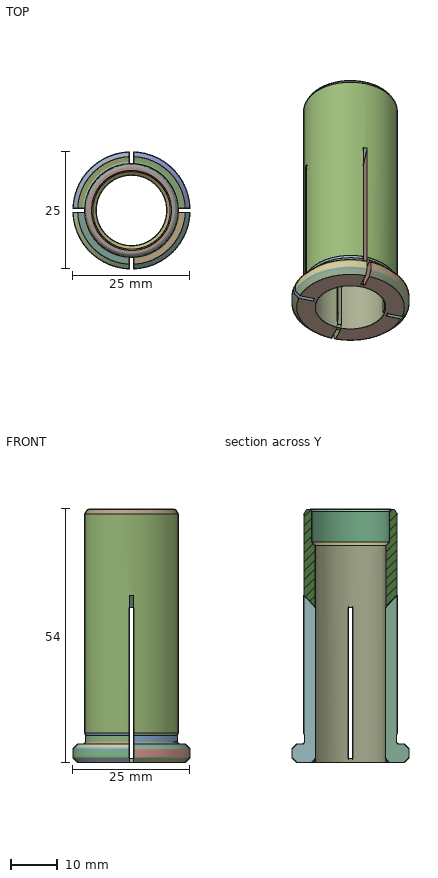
import cadquery as cq
import math

TOTAL_HEIGHT = 54.0
TUBE_RADIUS = 20.0 / 2
BORE_RADIUS = 15.0 / 2
COUNTERBORE_RADIUS = 16.5 / 2
COUNTERBORE_DEPTH = 7.0

FLANGE_RADIUS = 25.0 / 2
FLANGE_HEIGHT = 4.0
FLANGE_CHAMFER = 1.0
EDGE_ROUNDING = 0.5

GROOVE_RADIUS = 9.85
GROOVE_TOP = 5.8
GROOVE_RUNOUT = 0.5
GROOVE_FILLET = 0.5

LEAD_IN_HEIGHT = 1.0
LEAD_IN_ANGLE = 30.0
MOUTH_CHAMFER_WIDTH = 0.25
MOUTH_CHAMFER_HEIGHT = 0.5

SLOT_COUNT = 4
SLOT_WIDTH = 0.85
CUTTER_RADIUS = 25.45
CUTTER_OFFSET = 27.2
CUTTER_HEIGHT = 16.95


def make_body():
    """Revolve the outer outline of the flanged sleeve."""
    lead_in = LEAD_IN_HEIGHT * math.tan(math.radians(LEAD_IN_ANGLE))
    body = (
        cq.Workplane("XZ")
        .moveTo(0, 0)
        .lineTo(FLANGE_RADIUS - FLANGE_CHAMFER, 0)
        .lineTo(FLANGE_RADIUS, FLANGE_CHAMFER)
        .lineTo(FLANGE_RADIUS, FLANGE_HEIGHT - FLANGE_CHAMFER)
        .lineTo(FLANGE_RADIUS - FLANGE_CHAMFER, FLANGE_HEIGHT)
        .lineTo(GROOVE_RADIUS, FLANGE_HEIGHT)
        .lineTo(GROOVE_RADIUS, GROOVE_TOP)
        .lineTo(TUBE_RADIUS, GROOVE_TOP + GROOVE_RUNOUT)
        .lineTo(TUBE_RADIUS, TOTAL_HEIGHT - LEAD_IN_HEIGHT)
        .lineTo(TUBE_RADIUS - lead_in, TOTAL_HEIGHT)
        .lineTo(0, TOTAL_HEIGHT)
        .close()
        .revolve(360, (0, 0, 0), (0, 1, 0))
    )
    return round_edges(body)


def ring_at(height, radius):
    """Select the circular edge of the given radius at the given height."""
    reach = radius + 0.05
    slack = 0.005
    return cq.selectors.BoxSelector(
        (-reach, -reach, height - slack), (reach, reach, height + slack), boundingbox=True
    )


def round_edges(body):
    """Round the flange rim, the groove root and the mouth rim."""
    for height in (FLANGE_CHAMFER, FLANGE_HEIGHT - FLANGE_CHAMFER):
        body = body.edges(ring_at(height, FLANGE_RADIUS)).fillet(EDGE_ROUNDING)
    body = body.edges(ring_at(FLANGE_HEIGHT, GROOVE_RADIUS)).fillet(GROOVE_FILLET)
    return body.edges(ring_at(TOTAL_HEIGHT, TUBE_RADIUS)).fillet(EDGE_ROUNDING)


def make_bore():
    """Through bore with a conical step up to the counterbore and a chamfered mouth."""
    seat_top = TOTAL_HEIGHT - COUNTERBORE_DEPTH
    seat_bottom = seat_top - (COUNTERBORE_RADIUS - BORE_RADIUS)
    return (
        cq.Workplane("XZ")
        .moveTo(0, 0)
        .lineTo(BORE_RADIUS, 0)
        .lineTo(BORE_RADIUS, seat_bottom)
        .lineTo(COUNTERBORE_RADIUS, seat_top)
        .lineTo(COUNTERBORE_RADIUS, TOTAL_HEIGHT - MOUTH_CHAMFER_HEIGHT)
        .lineTo(COUNTERBORE_RADIUS + MOUTH_CHAMFER_WIDTH, TOTAL_HEIGHT)
        .lineTo(0, TOTAL_HEIGHT)
        .close()
        .revolve(360, (0, 0, 0), (0, 1, 0))
    )


def make_cutter():
    """Disc lying in the XZ plane, centred beside the sleeve on +X."""
    return (
        cq.Workplane("XZ")
        .center(CUTTER_OFFSET, CUTTER_HEIGHT)
        .circle(CUTTER_RADIUS)
        .extrude(SLOT_WIDTH / 2, both=True)
    )


result = make_body().cut(make_bore())
for index in range(SLOT_COUNT):
    angle = index * 360 / SLOT_COUNT
    result = result.cut(make_cutter().rotate((0, 0, 0), (0, 0, 1), angle))